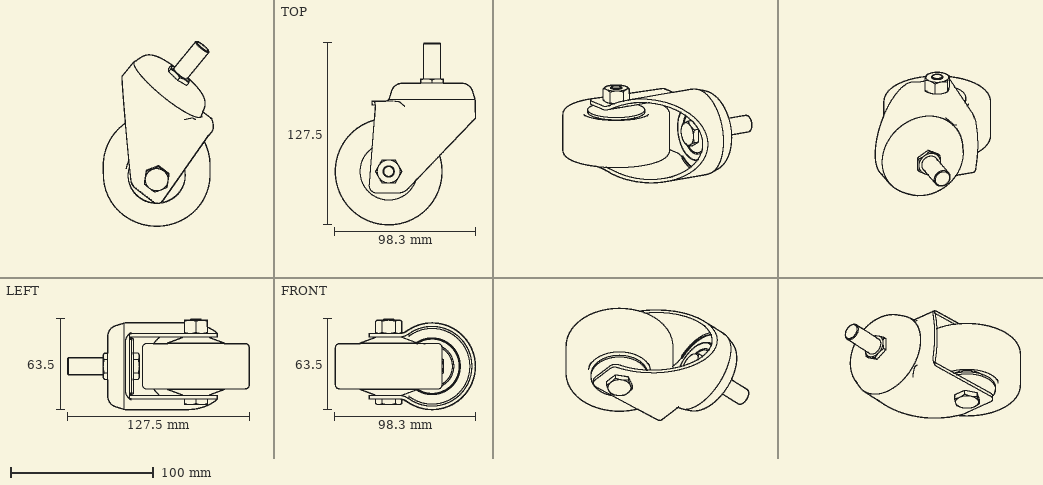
import cadquery as cq
import math

swivel_x = 30.3

wheel_radius = 37.5
wheel_half_width = 15.9
tread_fillet = 3.0
groove_radius = 21.7
groove_lip_fillet = 5.2
groove_floor_fillet = 1.9
wheel_hub_radius = 12.7

guard_rim_radius = 20.0
guard_top_radius = 8.9
guard_rim_z = 16.3
guard_rim_height = 1.7
guard_bottom_z = guard_rim_z - guard_rim_height

sheet = 2.5
leg_outer_z = 23.0
leg_inner_z = leg_outer_z - sheet
fork_radius = 30.5
neck_fillet = 10.0
neck_reach = fork_radius + neck_fillet
neck_x = swivel_x - math.sqrt(neck_reach**2 - (leg_outer_z + neck_fillet) ** 2)
plate_top_y = 49.2
plate_thickness = 2.8
plate_bottom_y = plate_top_y - plate_thickness
crown_height = 1.3
crown_y = plate_top_y + crown_height
crown_taper = 0.3
crown_fillet = 2.8
outer_bend = 5.1
ledge_width = 1.4
ledge_height = 0.6
leg_end_y = -15.0
leg_top_x = -9.3
leg_foot_x = -14.0
leg_foot_fillet = 5.1
slope_fillet = 8.9
slope_low_x = 12.6
slope_low_y = -13.0
slope_high_y = 37.3
plate_end_bulge = 2.4

hex_flats = 16.0
hex_corners = hex_flats / math.cos(math.radians(30))
hex_chamfer = 0.8

axle_radius = 4.0
axle_tip_z = 33.0
axle_tip_chamfer = 0.5
bolt_head_height = 4.0
axle_nut_height = 9.3

cap_height = 11.3
cap_top_y = crown_y + cap_height
cap_rim_radius = fork_radius - crown_taper
cap_taper = 3.5
cap_fillet = 8.0

cup_neck_radius = 18.6
cup_rim_radius = 19.9
cup_rim_y = 45.1
cup_mouth_y = 43.8
cup_mouth_outer_radius = 19.2
cup_mouth_inner_radius = 19.0
cup_floor_y = 45.8
cup_floor_outer_radius = 15.3
dome_outer_radius = 14.3
dome_inner_radius = 7.6
dome_bulge = 0.3

stem_radius = 6.0
overall_length = 127.5
stem_tip_y = overall_length - wheel_radius
stem_tip_chamfer = 0.6
collar_height = 3.0
stem_head_y = 39.6


def revolve_about_swivel(profile):
    """Revolve a profile of (radius, Y) about the swivel axis."""
    return profile.close().revolve(360, (0, 0, 0), (0, 1, 0)).translate((swivel_x, 0, 0))


def hexagon(height, chamfer_bottom, chamfer_top):
    """Hexagonal prism standing on Z = 0, corners on X, its chosen ends turned to a cone."""
    prism = cq.Workplane("XY").polygon(6, hex_corners).extrude(height)
    turned = cq.Workplane("XY").circle(hex_corners / 2).extrude(height)
    corner_depth = (hex_corners - hex_flats) / 2
    if chamfer_bottom:
        turned = turned.faces("<Z").chamfer(hex_chamfer, corner_depth)
    if chamfer_top:
        turned = turned.faces(">Z").chamfer(hex_chamfer, corner_depth)
    return prism.intersect(turned)


def stem_hexagon(bottom_y, height, chamfer_bottom, chamfer_top):
    """Hexagon on the swivel axis, rising along Y, corners on Z."""
    upright = hexagon(height, chamfer_bottom, chamfer_top).rotate((0, 0, 0), (0, 0, 1), 90)
    return upright.rotate((0, 0, 0), (1, 0, 0), -90).translate((swivel_x, bottom_y, 0))


def wheel_groove():
    """Rounded groove around the hub in the upper face, together with the space above the hub."""
    wall_z = wheel_half_width - groove_lip_fillet
    floor_z = wall_z - groove_floor_fillet
    profile = (
        cq.Workplane("XZ")
        .moveTo(0, guard_bottom_z)
        .lineTo(wheel_hub_radius, guard_bottom_z)
        .lineTo(wheel_hub_radius, floor_z)
        .lineTo(groove_radius - groove_floor_fillet, floor_z)
        .tangentArcPoint((groove_radius, wall_z), relative=False)
        .tangentArcPoint((groove_radius + groove_lip_fillet, wheel_half_width), relative=False)
        .lineTo(0, wheel_half_width)
        .close()
    )
    return profile.revolve(360, (0, 0, 0), (0, 1, 0))


def make_wheel():
    tyre = cq.Workplane("XY", origin=(0, 0, -wheel_half_width)).circle(wheel_radius)
    tyre = tyre.extrude(2 * wheel_half_width).faces("<Z or >Z").edges().fillet(tread_fillet)
    groove = wheel_groove()
    bore = cq.Workplane("XY").circle(axle_radius).extrude(wheel_half_width, both=True)
    return tyre.cut(groove).cut(groove.mirror("XY")).cut(bore)


def make_guard(side):
    """Conical thread guard between the wheel hub and one fork leg."""
    guard = (
        cq.Workplane("XZ")
        .moveTo(axle_radius, side * guard_bottom_z)
        .lineTo(guard_rim_radius, side * guard_bottom_z)
        .lineTo(guard_rim_radius, side * guard_rim_z)
        .lineTo(guard_top_radius, side * leg_inner_z)
        .lineTo(axle_radius, side * leg_inner_z)
        .close()
    )
    return guard.revolve(360, (0, 0, 0), (0, 1, 0))


def fork_prism(radius, half_width, neck_radius, top_y):
    """Keyhole-shaped prism: parallel sides that flow through concave necks into a round end.

    The inner and outer walls share their arc centres, so radius + neck_radius is always neck_reach.
    """
    neck_z = half_width + neck_radius
    meet_x = swivel_x - (swivel_x - neck_x) * radius / neck_reach
    meet_z = neck_z * radius / neck_reach
    mid_angle = (math.atan2(meet_z - neck_z, meet_x - neck_x) - math.pi / 2) / 2
    mid_x = neck_x + neck_radius * math.cos(mid_angle)
    mid_z = neck_z + neck_radius * math.sin(mid_angle)
    open_x = swivel_x - 3 * fork_radius
    outline = (
        cq.Workplane("XZ", origin=(0, top_y, 0))
        .moveTo(open_x, half_width)
        .lineTo(neck_x, half_width)
        .threePointArc((mid_x, mid_z), (meet_x, meet_z))
        .threePointArc((swivel_x + radius, 0), (meet_x, -meet_z))
        .threePointArc((mid_x, -mid_z), (neck_x, -half_width))
        .lineTo(open_x, -half_width)
        .close()
    )
    return outline.extrude(top_y - leg_end_y)


def fork_side_shape():
    """Side outline of the fork, wide enough for the plate end, extruded through its full width."""
    slope_high_x = swivel_x + fork_radius
    slope = (slope_high_y - slope_low_y) / (slope_high_x - slope_low_x)
    slope_foot_x = slope_low_x - (slope_low_y - leg_end_y) / slope
    plate_end_x = leg_top_x - plate_end_bulge
    side = (
        cq.Workplane("XY")
        .moveTo(leg_foot_x, leg_end_y)
        .lineTo(slope_foot_x, leg_end_y)
        .lineTo(slope_high_x, slope_high_y)
        .lineTo(slope_high_x, crown_y)
        .lineTo(plate_end_x, crown_y)
        .lineTo(plate_end_x, plate_bottom_y)
        .lineTo(leg_top_x, plate_bottom_y)
        .close()
        .extrude(fork_radius, both=True)
    )
    foot = cq.selectors.NearestToPointSelector((leg_foot_x, leg_end_y, 0))
    slope_foot = cq.selectors.NearestToPointSelector((slope_foot_x, leg_end_y, 0))
    side = side.edges("|Z").edges(foot).fillet(leg_foot_fillet)
    return side.edges("|Z").edges(slope_foot).fillet(slope_fillet)


def plate_end_waste():
    """Material outside the bulging free end of the fork plate."""
    far_x = leg_top_x - 2 * plate_end_bulge
    waste = (
        cq.Workplane("XZ", origin=(0, crown_y, 0))
        .moveTo(leg_top_x, leg_outer_z)
        .threePointArc((leg_top_x - plate_end_bulge, 0), (leg_top_x, -leg_outer_z))
        .lineTo(far_x, -leg_outer_z)
        .lineTo(far_x, leg_outer_z)
        .close()
    )
    return waste.extrude(crown_y - plate_bottom_y)


def fork_crown():
    """Round core of the fork with a slightly tapered top, tall enough to hold its foot fillet."""
    blank_height = 2 * crown_fillet
    top_radius = fork_radius - crown_taper * blank_height / crown_height
    profile = (
        cq.Workplane("XY")
        .moveTo(0, leg_end_y)
        .lineTo(fork_radius, leg_end_y)
        .lineTo(fork_radius, plate_top_y)
        .lineTo(top_radius, plate_top_y + blank_height)
        .lineTo(0, plate_top_y + blank_height)
    )
    return revolve_about_swivel(profile)


def fork_ledge():
    """Low ledge under the plate that follows the round wall from one neck to the other."""
    wall_radius = fork_radius - sheet
    ring = (
        cq.Workplane("XZ", origin=(swivel_x, plate_bottom_y, 0))
        .circle(wall_radius)
        .circle(wall_radius - ledge_width)
        .extrude(ledge_height)
    )
    wall_start_x = swivel_x - (swivel_x - neck_x) * wall_radius / neck_reach
    wall_side = (
        cq.Workplane("XY")
        .rect(2 * fork_radius, 2 * plate_top_y)
        .extrude(fork_radius, both=True)
        .translate((wall_start_x + fork_radius, 0, 0))
    )
    return ring.intersect(wall_side)


def make_fork():
    shell = fork_prism(fork_radius, leg_outer_z, neck_fillet, plate_top_y)
    shell = shell.faces(">Y").edges("not <X").fillet(outer_bend)
    shell = shell.union(fork_crown())
    plate_corner = (leg_top_x, plate_top_y, 0)
    crown_foot = shell.edges("%CIRCLE").edges(cq.selectors.NearestToPointSelector(plate_corner))
    shell = crown_foot.fillet(crown_fillet)
    hollow = fork_prism(fork_radius - sheet, leg_inner_z, neck_fillet + sheet, plate_bottom_y)
    fork = shell.cut(hollow.cut(fork_ledge())).intersect(fork_side_shape()).cut(plate_end_waste())
    axle_hole = cq.Workplane("XY").circle(axle_radius).extrude(leg_outer_z, both=True)
    stem_hole = (
        cq.Workplane("XZ", origin=(swivel_x, crown_y, 0))
        .circle(stem_radius)
        .extrude(crown_y - leg_end_y)
    )
    fork = fork.cut(axle_hole).cut(stem_hole)
    for side in (1, -1):
        hex_seat = cq.Workplane("XY", origin=(0, 0, side * leg_outer_z)).polygon(6, hex_corners)
        fork = fork.cut(hex_seat.extrude(side * axle_nut_height))
    return fork


def make_axle_bolt():
    shank = cq.Workplane("XY", origin=(0, 0, -leg_outer_z)).circle(axle_radius)
    shank = shank.extrude(leg_outer_z + axle_tip_z).faces(">Z").chamfer(axle_tip_chamfer)
    head = hexagon(bolt_head_height, True, False)
    return shank.union(head.translate((0, 0, -leg_outer_z - bolt_head_height)))


def make_axle_nut():
    bore = cq.Workplane("XY").circle(axle_radius).extrude(axle_nut_height)
    return hexagon(axle_nut_height, True, True).cut(bore).translate((0, 0, leg_outer_z))


def make_cap():
    cap_edge_radius = cap_rim_radius - cap_taper
    profile = (
        cq.Workplane("XY")
        .moveTo(0, crown_y)
        .lineTo(cap_rim_radius, crown_y)
        .lineTo(cap_edge_radius, cap_top_y)
        .lineTo(0, cap_top_y)
    )
    cap = revolve_about_swivel(profile).edges(">Y").fillet(cap_fillet)
    bore = cq.Workplane("XZ", origin=(swivel_x, cap_top_y, 0)).circle(stem_radius)
    return cap.cut(bore.extrude(cap_height))


def make_cup():
    """Round cup under the plate, with a domed middle that seats the head of the stem."""
    bulge_radius = (dome_outer_radius + dome_inner_radius) / 2 + dome_bulge
    bulge_y = (cup_floor_y + cup_mouth_y) / 2 - dome_bulge
    profile = (
        cq.Workplane("XY")
        .moveTo(stem_radius, plate_bottom_y)
        .lineTo(cup_neck_radius, plate_bottom_y)
        .lineTo(cup_rim_radius, cup_rim_y)
        .lineTo(cup_mouth_outer_radius, cup_mouth_y)
        .lineTo(cup_mouth_inner_radius, cup_mouth_y)
        .lineTo(cup_floor_outer_radius, cup_floor_y)
        .lineTo(dome_outer_radius, cup_floor_y)
        .threePointArc((bulge_radius, bulge_y), (dome_inner_radius, cup_mouth_y))
        .lineTo(stem_radius, cup_mouth_y)
    )
    return revolve_about_swivel(profile)


def make_stem():
    shank = cq.Workplane("XZ", origin=(swivel_x, stem_tip_y, 0)).circle(stem_radius)
    shank = shank.extrude(stem_tip_y - cup_mouth_y).faces(">Y").chamfer(stem_tip_chamfer)
    head = stem_hexagon(stem_head_y, cup_mouth_y - stem_head_y, True, False)
    collar = stem_hexagon(cap_top_y, collar_height, False, True)
    return shank.union(head).union(collar)


wheel = make_wheel()
guards = [make_guard(side) for side in (1, -1)]
fork = make_fork()
axle_bolt = make_axle_bolt()
axle_nut = make_axle_nut()
cap = make_cap()
cup = make_cup()
stem = make_stem()

result = cq.Compound.makeCompound(
    [
        wheel.val(),
        *[guard.val() for guard in guards],
        fork.val(),
        axle_bolt.val(),
        axle_nut.val(),
        cap.val(),
        cup.val(),
        stem.val(),
    ]
)